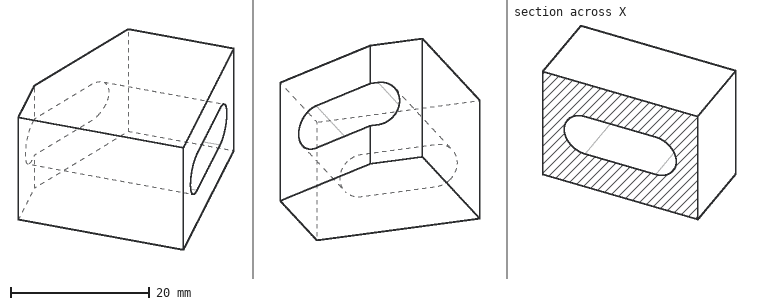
import cadquery as cq

width = 25
depth = 25
height = 18.5

left_face_depth = 8
corner_cut_width = 9

slot_length = 18
slot_height = 6.6


def make_block():
    outline = [
        (0, 0),
        (width, 0),
        (width, depth),
        (corner_cut_width, depth),
        (0, left_face_depth),
    ]
    return cq.Workplane("XY").polyline(outline).close().extrude(height)


def make_slot():
    return (
        cq.Workplane("YZ")
        .center(depth / 2, height / 2)
        .slot2D(slot_length, slot_height)
        .extrude(width)
    )


result = make_block().cut(make_slot())